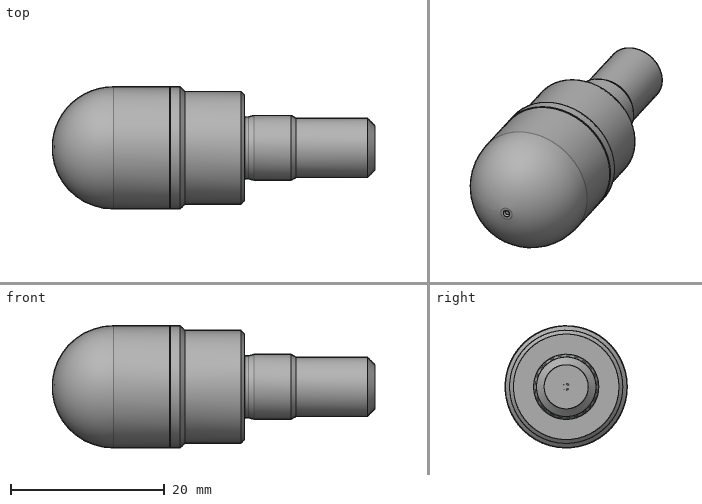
import cadquery as cq
import math


head_radius = 15.94 / 2
tip_flat_radius = 0.8
head_length = 17.25

recess_mouth_radius = 0.45
recess_floor_radius = 0.28
recess_depth = 0.3

groove_x = 15.26
groove_width = 0.12
groove_depth = 0.06

collar_radius = 14.75 / 2
collar_end_x = 25.04
collar_chamfer = 0.5
neck_radius = 8.1 / 2
neck_length = 0.5
neck_fillet = 0.12
seat_radius = 8.5 / 2
seat_lead_in_angle = 15
seat_end_x = 31.09
pin_radius = 7.75 / 2
seat_taper_angle = 30
pin_end_x = 42.04
pin_chamfer = 1.0

head_rear_chamfer = head_radius - collar_radius


def cone_length(large_radius, small_radius, angle):
    """Axial length of a cone whose side makes the angle with the axis."""
    return (large_radius - small_radius) / math.tan(math.radians(angle))


def turned(profile):
    """Solid of revolution of a closed profile in the XY plane about the X axis."""
    return profile.close().revolve(360, (0, 0, 0), (1, 0, 0))


def make_head():
    """Dome with a flat tip, running into a cylinder with a chamfered rear edge."""
    dome_center_x = math.sqrt(head_radius**2 - tip_flat_radius**2)
    start_angle = math.asin(tip_flat_radius / head_radius)
    middle_angle = (start_angle + math.pi / 2) / 2
    dome_middle = (
        dome_center_x - head_radius * math.cos(middle_angle),
        head_radius * math.sin(middle_angle),
    )
    groove_bottom_radius = head_radius - groove_depth
    groove_end_x = groove_x + groove_width
    profile = (
        cq.Workplane("XY")
        .moveTo(recess_depth, 0)
        .lineTo(recess_depth, recess_floor_radius)
        .lineTo(0, recess_mouth_radius)
        .lineTo(0, tip_flat_radius)
        .threePointArc(dome_middle, (dome_center_x, head_radius))
        .lineTo(groove_x, head_radius)
        .lineTo(groove_x, groove_bottom_radius)
        .lineTo(groove_end_x, groove_bottom_radius)
        .lineTo(groove_end_x, head_radius)
        .lineTo(head_length - head_rear_chamfer, head_radius)
        .lineTo(head_length, collar_radius)
        .lineTo(head_length, 0)
    )
    return turned(profile)


def make_shank():
    """Collar against the head, then a relief neck, a seat and a chamfered pin."""
    neck_end_x = collar_end_x + neck_length
    seat_start_x = neck_end_x + cone_length(seat_radius, neck_radius, seat_lead_in_angle)
    pin_start_x = seat_end_x + cone_length(seat_radius, pin_radius, seat_taper_angle)
    fillet_middle_offset = neck_fillet * (1 - math.sqrt(0.5))
    fillet_middle = (collar_end_x + fillet_middle_offset, neck_radius + fillet_middle_offset)
    profile = (
        cq.Workplane("XY")
        .moveTo(head_length, 0)
        .lineTo(head_length, collar_radius)
        .lineTo(collar_end_x - collar_chamfer, collar_radius)
        .lineTo(collar_end_x, collar_radius - collar_chamfer)
        .lineTo(collar_end_x, neck_radius + neck_fillet)
        .threePointArc(fillet_middle, (collar_end_x + neck_fillet, neck_radius))
        .lineTo(neck_end_x, neck_radius)
        .lineTo(seat_start_x, seat_radius)
        .lineTo(seat_end_x, seat_radius)
        .lineTo(pin_start_x, pin_radius)
        .lineTo(pin_end_x - pin_chamfer, pin_radius)
        .lineTo(pin_end_x, pin_radius - pin_chamfer)
        .lineTo(pin_end_x, 0)
    )
    return turned(profile)


head = make_head()
shank = make_shank()

result = cq.Compound.makeCompound([head.val(), shank.val()])